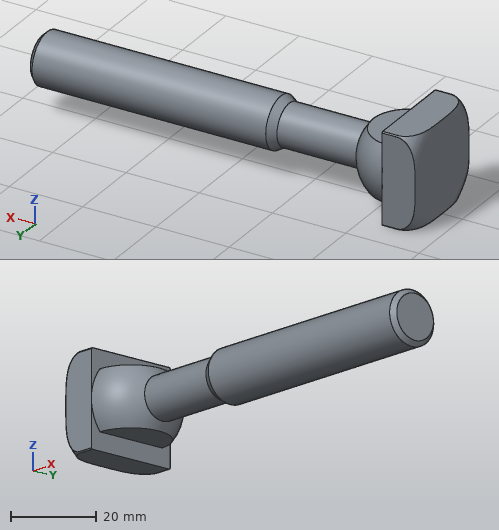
import cadquery as cq

total_length = 109.0

head_width = 25.0
head_thickness = 9.0
head_turning_radius = 17.4
head_rounding = head_turning_radius - head_width / 2

ball_radius = head_width / 2
ball_height = 15.5

neck_radius = 5.7
neck_end = 41.7
shank_start = 44.0
shank_radius = 7.0
end_chamfer = 1.2


def make_head():
    block = cq.Workplane("YZ").rect(head_width, head_width).extrude(head_thickness)
    turned_blank = (
        cq.Workplane("YZ")
        .circle(head_turning_radius)
        .extrude(head_thickness)
        .faces("<X")
        .edges()
        .fillet(head_rounding)
    )
    return block.intersect(turned_blank)


def make_ball():
    sphere = cq.Workplane("XY").sphere(ball_radius).translate((head_thickness, 0, 0))
    flats = cq.Workplane("XY").box(
        ball_radius, head_width, ball_height, centered=(False, True, True)
    ).translate((head_thickness, 0, 0))
    return sphere.intersect(flats)


def make_shaft():
    return (
        cq.Workplane("XY")
        .moveTo(head_thickness, 0)
        .lineTo(head_thickness, neck_radius)
        .lineTo(neck_end, neck_radius)
        .lineTo(shank_start, shank_radius)
        .lineTo(total_length - end_chamfer, shank_radius)
        .lineTo(total_length, shank_radius - end_chamfer)
        .lineTo(total_length, 0)
        .close()
        .revolve(360, (0, 0, 0), (1, 0, 0))
    )


result = make_head().union(make_ball()).union(make_shaft())